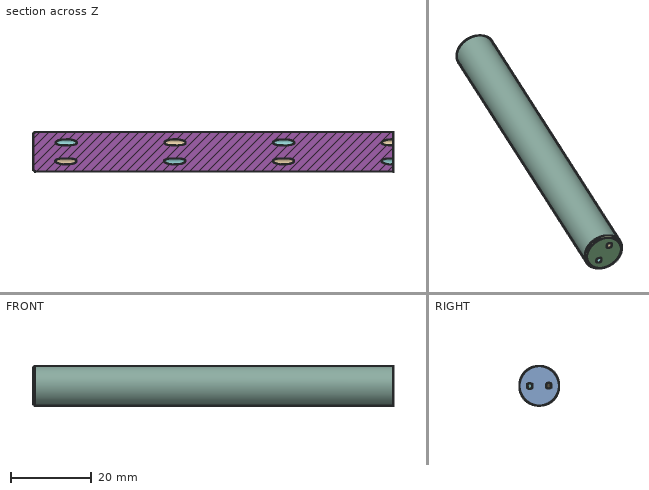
import cadquery as cq

length = 90.0
diameter = 10.0
end_chamfer = 0.45

channel_count = 2
channel_diameter = 1.4
channel_circle_diameter = 4.8
channel_start_angle = 125.5
twist_pitch = 54.4


def make_rod():
    rod = cq.Workplane("YZ").circle(diameter / 2).extrude(length)
    return rod.faces("<X").chamfer(end_chamfer)


def make_channels():
    total_twist = 360 * length / twist_pitch
    return (
        cq.Workplane("YZ")
        .polarArray(channel_circle_diameter / 2, channel_start_angle, 360, channel_count)
        .circle(channel_diameter / 2)
        .twistExtrude(length, total_twist)
    )


result = make_rod().cut(make_channels())